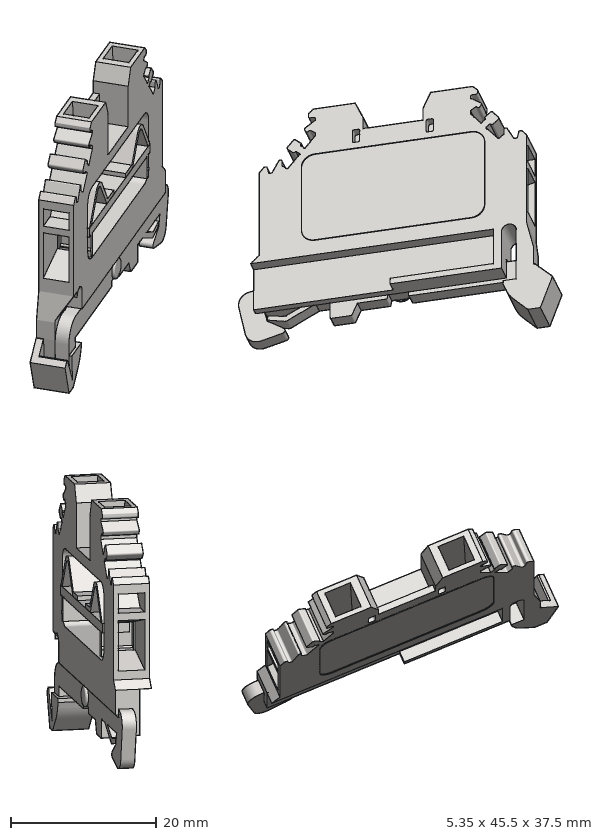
import cadquery as cq
import math


housing_width = 5.1
clamp_overhang = 0.25
cavity_floor_x = 0.95
foot_x = 2.7
foot_thickness = 2.0
window_x = (0.7, 4.4)

housing_top = 37.5
saddle_z = 33.2
saddle_half = 4.27
saddle_floor_z = 28.78
side_half = 19.05
shoulder_z = 14.1
back_shoulder_z = 15.0
base_z = 7.3
back_end_y = 20.28
leg_outer = 20.0
leg_shoulder_z = 10.1
slot_outer = 17.55
slot_inner = 15.45
slot_top_z = 14.27
lug_top_z = 5.25

panel_half = 13.05
panel_z = (16.25, 30.2)
panel_radius = 1.9
panel_depth = 0.15
cavity_top_z = 27.25
base_recess_depth = 1.65
base_recess_top_z = 13.8
base_recess_end = 14.3
ledge_end_y = 0.4
ledge_top_z = 8.25

marker_slot_y = 4.75
marker_slot_width = 1.05
marker_slot_height = 2.05
marker_slot_depth = 1.35
marker_slot_radius = 0.27

well_y = (6.6, 10.4)
well_throat_x = (1.27, 3.77)
pocket_z = (24.35, 27.05)
pocket_floor_length = 2.9
window_mouth_z = (16.25, 23.3)
window_throat_z = (17.8, 21.8)

rail_space_top_z = 10.35
release_pocket_x = 1.05
release_rim = (21.95, 5.5)
release_rim_width = 0.27
release_floor = (19.55, 1.35)

busbar_x = 1.45
busbar_top_z = 21.75
busbar_thickness = 1.35
busbar_leg_outer = 12.35
busbar_leg_thickness = 0.7
busbar_leg_bottom_z = 16.9
bead_z = 18.1
bead_radius = 0.25
loop_y = 8.8
loop_z = 25.2
loop_diameter = 3.0
loop_bore = 1.7
clamp_leg_angle = math.radians(34)
clamp_toe_y = 2.55
foot_top_z = 9.95
foot_hidden_z = 7.55
foot_toe_z = 3.65
foot_leg_outer = 19.85
foot_leg_inner = 17.1
foot_leg_radius = 3.0
rivet_diameter = 3.0
rivet_z = 8.8
rivet_rounding = 0.27

SIDES = (1, -1)


def corner_arc(before, corner, after, radius):
    """Start, middle and end of the arc that rounds a corner."""
    to_before = cq.Vector(*before).sub(corner).normalized()
    to_after = cq.Vector(*after).sub(corner).normalized()
    half_angle = to_before.getAngle(to_after) / 2
    bisector = to_before.add(to_after).normalized()
    setback = radius / math.tan(half_angle)
    sagitta = radius / math.sin(half_angle) - radius
    points = (to_before * setback, bisector * sagitta, to_after * setback)
    return [corner.add(point).toTuple()[:2] for point in points]


def plate(corners, x_start, x_end):
    """Plate between two X planes; corners are (y, z) or (y, z, rounding radius)."""
    points = [corner[:2] for corner in corners]
    wire = cq.Workplane("YZ", origin=(x_start, 0, 0))
    for i, corner in enumerate(corners):
        radius = corner[2] if len(corner) == 3 else 0
        if radius:
            following = points[(i + 1) % len(points)]
            stops = corner_arc(points[i - 1], cq.Vector(*points[i]), following, radius)
        else:
            stops = [points[i]]
        wire = wire.moveTo(*stops[0]) if i == 0 else wire.lineTo(*stops[0])
        if radius:
            wire = wire.threePointArc(*stops[1:])
    return wire.close().extrude(x_end - x_start)


def box(x_range, y_range, z_range):
    sizes = [high - low for low, high in (x_range, y_range, z_range)]
    corner = (x_range[0], y_range[0], z_range[0])
    return cq.Workplane("XY").box(*sizes, centered=False).translate(corner)


def mirrored(corners):
    """The same corners, in the same order, on the other side of Y = 0."""
    return [(-corner[0], *corner[1:]) for corner in corners]


def both_sides(shape):
    return shape.union(shape.mirror("XZ"))


FLANK = [
    (saddle_half, saddle_z), (saddle_half, 35.1), (5.35, housing_top), (11.35, housing_top),
    (12.05, 36.8, 0.15), (12.05, 36.15, 0.27), (11.05, 36.15, 0.27), (11.05, 35.65),
    (12.7, 34.5, 0.25), (12.27, 33.8, 0.2), (11.8, 34.15, 0.15), (11.05, 33.6), (11.05, 33.15),
    (12.55, 31.3), (13.2, 31.9), (13.05, 32.2), (14.05, 33.05, 0.2), (15.2, 31.75, 0.27),
    (14.2, 30.8, 0.2), (13.8, 31.0), (13.25, 30.5),
    (15.05, 28.35, 0.2), (15.8, 29.05), (15.8, 30.0, 0.2), (16.25, 29.95, 0.15),
    (17.25, 28.1, 0.2), (17.7, 28.1, 0.2), (17.95, 29.25, 0.25), (18.35, 29.2, 0.2), (side_half, 28.35),
]

SNAP_LEG = [
    (-side_half, shoulder_z), (-leg_outer, leg_shoulder_z), (-leg_outer, base_z), (-20.15, base_z),
    (-22.75, 4.8), (-21.0, 0), (-19.2, 0), (-16.4, 2.77, 5.0), (-15.7, 4.7),
    (-15.7, lug_top_z), (-slot_outer, lug_top_z), (-slot_outer, base_z),
]


def housing_blank():
    back = [(back_end_y, base_z), (back_end_y, base_recess_top_z), (side_half, back_shoulder_z)]
    outline = back + FLANK[::-1] + mirrored(FLANK) + SNAP_LEG
    return plate(outline, 0, housing_width)


def snap_slot():
    """Round-topped slot that frees the snap leg from the base."""
    radius = (slot_outer - slot_inner) / 2
    centre_y = -slot_inner - radius
    centre_z = slot_top_z - radius
    round_top = cq.Workplane("YZ", origin=(0, centre_y, centre_z)).circle(radius)
    straight = box((0, housing_width), (-slot_outer, -slot_inner), (base_z, centre_z))
    return straight.union(round_top.extrude(housing_width))


def side_panel(x_range, top_z):
    z_low = panel_z[0]
    corners = [(-panel_half, z_low), (panel_half, z_low), (panel_half, top_z), (-panel_half, top_z)]
    return plate([(y, z, panel_radius) for y, z in corners], *x_range)


def base_recess():
    depth = (0, base_recess_depth)
    above_ledge = box(depth, (-base_recess_end, back_end_y), (ledge_top_z, base_recess_top_z))
    beside_ledge = box(depth, (ledge_end_y, back_end_y), (base_z, ledge_top_z))
    return above_ledge.union(beside_ledge)


def marker_slots():
    z_range = (saddle_z - marker_slot_height, saddle_z)
    y_range = (marker_slot_y, marker_slot_y + marker_slot_width)
    slot = box((0, marker_slot_depth), y_range, z_range).edges("|X").fillet(marker_slot_radius)
    return both_sides(slot)


def screwdriver_wells():
    outline = [
        (window_x[0], housing_top), (window_x[1], housing_top),
        (well_throat_x[1], cavity_top_z), (well_throat_x[0], cavity_top_z),
    ]
    well = cq.Workplane("XZ", origin=(0, well_y[0], 0)).polyline(outline).close()
    return both_sides(well.extrude(well_y[0] - well_y[1]))


def test_pockets():
    """Level-floored pockets in the side walls, each ending in a back wall at 45 degrees."""
    low, high = pocket_z
    floor_end = side_half - pocket_floor_length
    outline = [(side_half, low), (side_half, high), (floor_end - (high - low), high), (floor_end, low)]
    return both_sides(plate(outline, *window_x))


def wire_windows():
    funnel = [
        (side_half, window_mouth_z[0]), (side_half, window_mouth_z[1]),
        (panel_half, window_throat_z[1]), (panel_half, window_throat_z[0]),
    ]
    return both_sides(plate(funnel, *window_x))


def saddle_step():
    y_range = (-saddle_half, saddle_half)
    return box((cavity_floor_x, housing_width), y_range, (saddle_floor_z, saddle_z))


def rail_space():
    """Room for the metal foot on the +X side, and the slanted cut across the snap leg above it."""
    space = box((foot_x, housing_width), (-leg_outer, back_end_y), (lug_top_z, rail_space_top_z))
    slant = [
        (foot_x, rail_space_top_z), (housing_width, rail_space_top_z), (housing_width, shoulder_z),
    ]
    cut = cq.Workplane("XZ", origin=(0, -slot_outer, 0)).polyline(slant).close()
    return space.union(cut.extrude(leg_outer - slot_outer))


def foot_socket():
    x_range = (foot_x, foot_x + foot_thickness)
    return box(x_range, (-foot_leg_outer, -foot_leg_inner), (foot_toe_z, lug_top_z))


def release_pocket():
    """Screwdriver pocket behind the outer rim of the lug."""
    rim_y, rim_z = release_rim
    floor_y, floor_z = release_floor
    outline = [
        (-leg_outer, base_z), (-rim_y, base_z), (-rim_y, rim_z),
        (release_rim_width - rim_y, rim_z), (-floor_y, floor_z),
    ]
    return plate(outline, release_pocket_x, housing_width)


def make_housing():
    cuts = (
        snap_slot(), side_panel((0, panel_depth), panel_z[1]),
        side_panel((cavity_floor_x, housing_width), cavity_top_z),
        base_recess(), marker_slots(), screwdriver_wells(), test_pockets(), wire_windows(),
        saddle_step(), rail_space(), foot_socket(), release_pocket(),
    )
    housing = housing_blank()
    for cut in cuts:
        housing = housing.cut(cut)
    return housing


def make_foot():
    outline = [
        (back_end_y, foot_top_z), (back_end_y, 11.15), (23.1, 10.7, 1.9), (21.35, 2.3, 1.9),
        (15.4, 3.77, 0.45), (18.65, 5.85), (19.05, foot_hidden_z),
        (9.7, foot_hidden_z), (9.7, 4.8, 0.25), (6.6, 4.8, 0.27), (5.77, 6.7),
        (1.55, 6.7, 0.2), (1.4, foot_hidden_z),
        (-1.5, foot_hidden_z), (-1.5, 6.7, 0.2), (-foot_leg_inner, 6.7),
        (-foot_leg_inner, foot_toe_z), (-foot_leg_outer, foot_toe_z),
        (-foot_leg_outer, foot_top_z, foot_leg_radius),
    ]
    spring_leaf = [
        (18.55, 6.7), (16.45, 6.27), (16.0, 6.27), (13.4, foot_hidden_z),
        (11.75, foot_hidden_z), (15.9, 5.35, 0.7), (18.55, 6.0),
    ]
    foot_end_x = foot_x + foot_thickness
    return plate(outline, foot_x, foot_end_x).union(plate(spring_leaf, foot_x, foot_end_x))


def make_rivet():
    """Rounded rivet head seated on the +X face of the foot."""
    face_x = foot_x + foot_thickness
    head = cq.Workplane("YZ", origin=(face_x, 0, rivet_z)).circle(rivet_diameter / 2)
    return head.extrude(housing_width - face_x).faces(">X").edges().fillet(rivet_rounding)


metal_end_x = housing_width + clamp_overhang


def make_busbar():
    bar_z = (busbar_top_z - busbar_thickness, busbar_top_z)
    bar = box((busbar_x, metal_end_x), (-panel_half, panel_half), bar_z)
    leg_x = (cavity_floor_x, metal_end_x)
    leg_y = (busbar_leg_outer - busbar_leg_thickness, busbar_leg_outer)
    leg = box(leg_x, leg_y, (busbar_leg_bottom_z, busbar_top_z))
    bead = cq.Workplane("YZ", origin=(cavity_floor_x, busbar_leg_outer, bead_z)).circle(bead_radius)
    return bar.union(both_sides(leg.union(bead.extrude(metal_end_x - cavity_floor_x))))


def make_clamp(side):
    """Bent spring: a round loop on two splayed legs that stand on the busbar, with an inner toe."""
    outer_radius = loop_diameter / 2
    inner_radius = loop_bore / 2
    thickness = outer_radius - inner_radius
    apex_z = loop_z + outer_radius / math.sin(clamp_leg_angle)
    bore_apex_z = loop_z + inner_radius / math.sin(clamp_leg_angle)

    def spread(apex, z):
        return (apex - z) * math.tan(clamp_leg_angle)

    toe_top_z = busbar_top_z + thickness
    outline = [
        (loop_y + spread(apex_z, busbar_top_z), busbar_top_z),
        (loop_y, apex_z, outer_radius),
        (loop_y - spread(apex_z, toe_top_z), toe_top_z),
        (clamp_toe_y, toe_top_z),
        (clamp_toe_y, busbar_top_z),
        (loop_y - spread(bore_apex_z, busbar_top_z), busbar_top_z),
        (loop_y, bore_apex_z, inner_radius),
        (loop_y + spread(bore_apex_z, busbar_top_z), busbar_top_z),
    ]
    return plate(outline if side > 0 else mirrored(outline), cavity_floor_x, metal_end_x)


housing = make_housing()
foot = make_foot()
rivet = make_rivet()
busbar = make_busbar()
clamps = [make_clamp(side) for side in SIDES]

result = cq.Compound.makeCompound(
    [housing.val(), foot.val(), rivet.val(), busbar.val(), *[clamp.val() for clamp in clamps]]
)